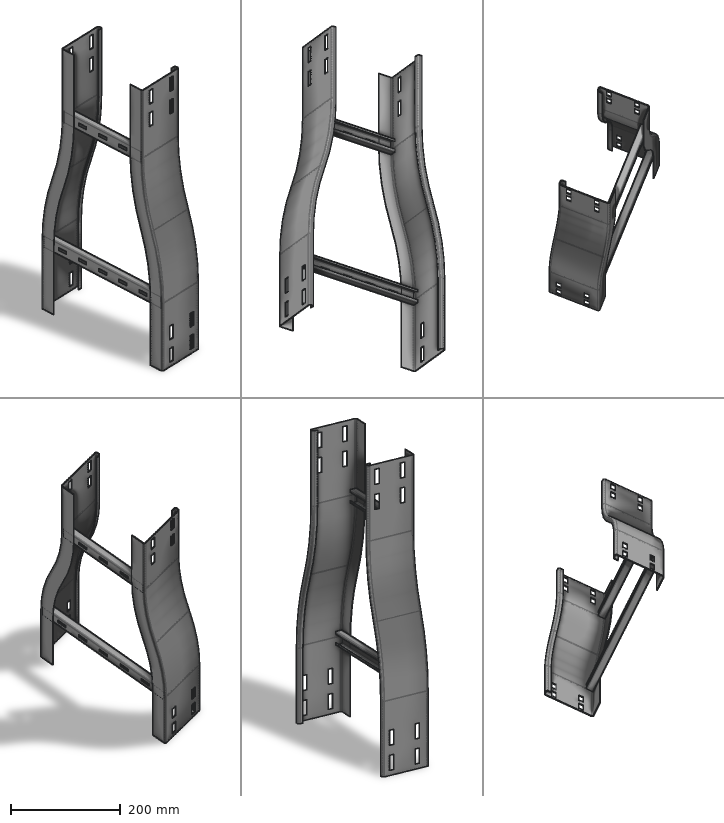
import cadquery as cq
length = 600.0
bottom_width = 300.0
top_width = length / 3
depth = length / 6

rail_sheet = 2.0
rail_bend = 4.0
rung_sheet = 1.0
rung_bend = 2.0

front_flange = 30.5
back_flange = 11.0
back_lip = 10.0

bend_start = length / 4
bend_end = length - bend_start
bottom_x = -bottom_width / 2
top_x = -top_width / 2

rail_slot_length = 30.0
rail_slot_width = 9.0
rail_slot_pitch = 50.0
rail_slot_end_distance = 25.0
front_slot_y = 25.0
back_slot_y = depth - 20.0

rung_height = 28.0
rung_depth = 15.0
rung_lip = 6.0
rung_end_gap = 5.1
rung_slot_length = 19.0
rung_slot_height = 6.0
rung_slot_pitch = 50.0
lower_slot_count = 5
upper_slot_count = 3


def folded_section(outside, inside, sheet, outer_radius):
    """Sheet section between two matching open outlines, with every fold rounded."""
    outline = [cq.Vector(*point) for point in outside + inside[::-1]]
    face = cq.Face.makeFromWires(cq.Wire.makePolygon(outline, close=True))
    for points, radius in ((outside, outer_radius), (inside, outer_radius - sheet)):
        folds = [cq.Vector(*point) for point in points[1:-1]]
        corners = [v for v in face.Vertices() if any((v.Center() - f).Length < sheet / 10 for f in folds)]
        face = face.fillet2D(radius, corners)
    return face


def rail_section():
    """C section: web along Y, wide plain front flange, narrow back flange with a lip."""
    back_x = bottom_x + back_flange
    outside = [
        (bottom_x + front_flange, 0),
        (bottom_x, 0),
        (bottom_x, depth),
        (back_x, depth),
        (back_x, depth - back_lip),
    ]
    inside = [
        (bottom_x + front_flange, rail_sheet),
        (bottom_x + rail_sheet, rail_sheet),
        (bottom_x + rail_sheet, depth - rail_sheet),
        (back_x - rail_sheet, depth - rail_sheet),
        (back_x - rail_sheet, depth - back_lip),
    ]
    return folded_section(outside, inside, rail_sheet, rail_bend)


def rail_path():
    """Line of the web's outer face: straight, two opposite arcs, straight."""
    middle = ((bottom_x + top_x) / 2, length / 2)
    return (
        cq.Workplane("XZ")
        .moveTo(bottom_x, 0)
        .lineTo(bottom_x, bend_start)
        .tangentArcPoint(middle, relative=False)
        .tangentArcPoint((top_x, bend_end), relative=False)
        .lineTo(top_x, length)
    )


def rail_slots():
    """Cutters for the slots through the web, a 2 x 2 group at each end."""
    slots = cq.Workplane("XY")
    for row in range(2):
        from_end = rail_slot_end_distance + row * rail_slot_pitch
        for x, z in ((bottom_x, from_end), (top_x, length - from_end)):
            for y in (front_slot_y, back_slot_y):
                cutter = cq.Workplane("XY").box(2 * rail_bend, rail_slot_width, rail_slot_length)
                slots = slots.add(cutter.translate((x, y, z)))
    return slots.combine()


def make_left_rail():
    section = cq.Workplane("XY").add(rail_section().outerWire()).toPending()
    return section.sweep(rail_path()).cut(rail_slots())


def rung_section():
    """Channel section, drawn as (Y, Z): slotted web in front, flanges with inward lips behind."""
    half = rung_height / 2
    inner_half = half - rung_sheet
    inner_depth = rung_depth - rung_sheet
    lip_z = half - rung_lip
    outside = [
        (rung_depth, -lip_z),
        (rung_depth, -half),
        (0, -half),
        (0, half),
        (rung_depth, half),
        (rung_depth, lip_z),
    ]
    inside = [
        (inner_depth, -lip_z),
        (inner_depth, -inner_half),
        (rung_sheet, -inner_half),
        (rung_sheet, inner_half),
        (inner_depth, inner_half),
        (inner_depth, lip_z),
    ]
    return folded_section(outside, inside, rung_sheet, rung_bend)


def make_rung(rail_width, z, slot_count):
    """Rung centred at height z, resting on the inside of the rails' front flanges."""
    rung_length = rail_width - 2 * rung_end_gap
    along = cq.Vector(rung_length, 0, 0)
    placed = cq.Plane(origin=(-rung_length / 2, rail_sheet, z), xDir=(0, 1, 0), normal=(1, 0, 0))
    section = rung_section().moved(cq.Location(placed))
    channel = cq.Workplane("XY").add(cq.Solid.extrudeLinear(section, along))
    slots = (
        cq.Workplane("XZ", origin=(0, rail_sheet, z))
        .rarray(rung_slot_pitch, 6, slot_count, 1)
        .rect(rung_slot_length, rung_slot_height)
        .extrude(-rung_depth / 2)
    )
    return channel.cut(slots)


left_rail = make_left_rail()
right_rail = left_rail.mirror("YZ")
lower_rung = make_rung(bottom_width, bend_start, lower_slot_count)
upper_rung = make_rung(top_width, bend_end, upper_slot_count)

bodies = [left_rail, right_rail, lower_rung, upper_rung]
result = cq.Compound.makeCompound([body.val() for body in bodies])